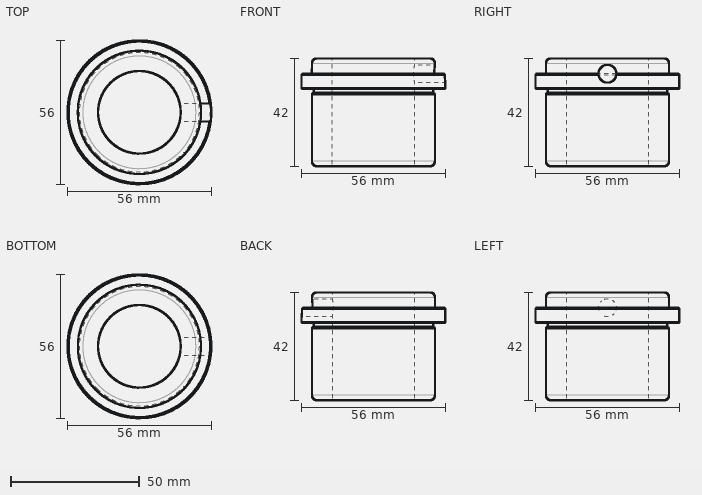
import cadquery as cq

height = 42.0
flange_radius = 28.0
body_radius = 23.95
bore_radius = 16.0

flange_top = height - 6.0
flange_thickness = 6.0
flange_bottom = flange_top - flange_thickness
flange_chamfer = 0.5
groove_depth = 0.65
groove_width = 2.0
groove_taper = 0.65
groove_bottom = flange_bottom - groove_width

end_round = 2.0

hole_radius = 3.45
hole_height = flange_top


def turned_body():
    """Revolve the sleeve profile, with flange and groove, about Z."""
    groove_radius = body_radius - groove_depth
    flange_edge = flange_radius - flange_chamfer
    profile = (
        cq.Workplane("XZ")
        .moveTo(bore_radius, 0)
        .lineTo(body_radius - end_round, 0)
        .radiusArc((body_radius, end_round), -end_round)
        .lineTo(body_radius, groove_bottom)
        .lineTo(groove_radius, groove_bottom + groove_taper)
        .lineTo(groove_radius, flange_bottom)
        .lineTo(flange_edge, flange_bottom)
        .lineTo(flange_radius, flange_bottom + flange_chamfer)
        .lineTo(flange_radius, flange_top - flange_chamfer)
        .lineTo(flange_edge, flange_top)
        .lineTo(body_radius, flange_top)
        .lineTo(body_radius, height - end_round)
        .radiusArc((body_radius - end_round, height), -end_round)
        .lineTo(bore_radius, height)
        .close()
    )
    return profile.revolve(360, (0, 0, 0), (0, 1, 0))


def radial_hole():
    """Cylinder running from the axis out through the +X wall."""
    return (
        cq.Workplane("YZ")
        .center(0, hole_height)
        .circle(hole_radius)
        .extrude(flange_radius)
    )


result = turned_body().cut(radial_hole())